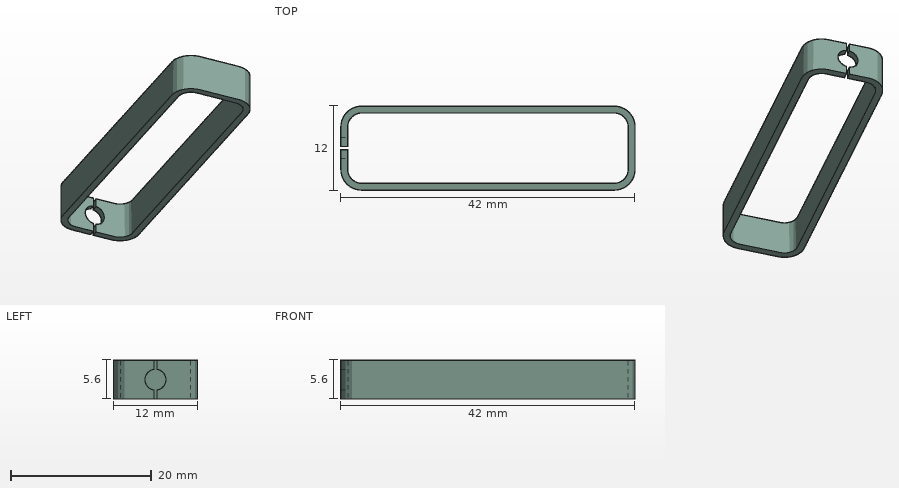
import cadquery as cq

length = 42.0
width = 12.0
height = 5.6
wall = 1.0
outer_radius = 3.0
gap_width = 0.4
hole_diameter = 3.0


def rounded_block(size_x, size_y, corner_radius):
    """Centred block with its base on Z = 0 and rounded vertical edges."""
    block = cq.Workplane("XY").box(size_x, size_y, height, centered=(True, True, False))
    return block.edges("|Z").fillet(corner_radius)


def closed_band():
    """Rounded rectangular band of constant wall thickness."""
    outside = rounded_block(length, width, outer_radius)
    inside = rounded_block(length - 2 * wall, width - 2 * wall, outer_radius - wall)
    return outside.cut(inside)


def end_wall_gap():
    """Narrow split through the full height of the -X end wall."""
    gap = cq.Workplane("XY").box(2 * wall, gap_width, height, centered=(True, True, False))
    return gap.translate((-length / 2, 0, 0))


def end_wall_hole():
    """Round hole along X, at mid-height of the -X end wall only."""
    start = cq.Workplane("YZ", origin=(-length / 2, 0, height / 2))
    return start.circle(hole_diameter / 2).extrude(2 * wall)


result = closed_band().cut(end_wall_gap()).cut(end_wall_hole())